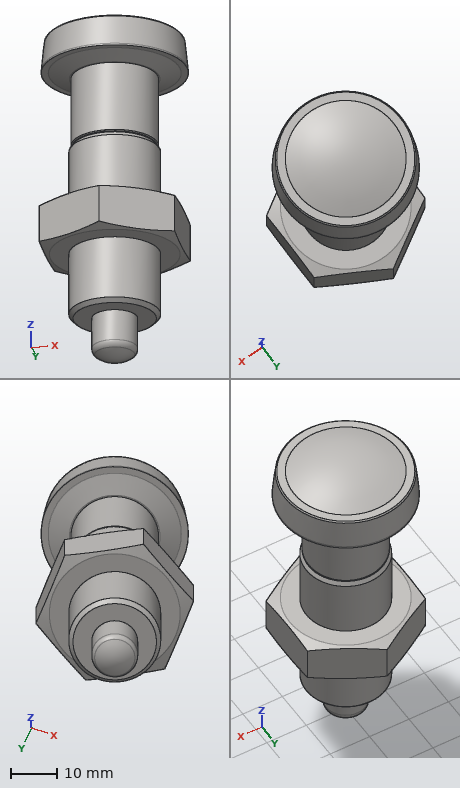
import cadquery as cq
import math

pin_radius = 5.0
pin_length = 10.0
pin_round_start = 3.0
tip_radius = 4.4
tip_dome_height = 1.5
round_mid_radius = 4.8
round_mid_height = 2.1

body_radius = 10.0
body_bottom = pin_length
body_top = 50.0
bottom_chamfer = 0.9
top_chamfer_width = 0.6
top_chamfer_height = 0.9

hex_across_corners = 34.6
hex_bottom = 25.0
hex_height = 9.9
hex_flat_radius = 14.2
hex_corner_drop = 0.8

stem_radius = 9.5
stem_bottom = 50.2
stem_chamfer = 0.2
seam_radius = stem_radius - stem_chamfer
stem_top = 66.2
lip_radius = 9.8
rim_radius = 16.0
rim_bottom = 67.6
rim_flat_radius = 14.4
rim_band_top = 68.0
side_mid_radius = 15.7
side_mid_height = 71.7
side_top_radius = 15.3
rim_top = 75.0
rim_chamfer = 0.3
dome_edge_radius = 13.1
total_height = 78.0


def dome_radius(edge_radius, height):
    """Sphere radius of a cap with the given edge radius and height."""
    return (edge_radius**2 + height**2) / (2 * height)


def dome_mid_offset(edge_radius, height):
    """Distance from the apex plane to the cap surface at half its edge radius."""
    sphere = dome_radius(edge_radius, height)
    return sphere - math.sqrt(sphere**2 - (edge_radius / 2) ** 2)


def make_pin():
    tip_mid = (tip_radius / 2, dome_mid_offset(tip_radius, tip_dome_height))
    profile = (
        cq.Workplane("XZ")
        .moveTo(0, 0)
        .threePointArc(tip_mid, (tip_radius, tip_dome_height))
        .threePointArc((round_mid_radius, round_mid_height), (pin_radius, pin_round_start))
        .lineTo(pin_radius, body_bottom)
        .lineTo(0, body_bottom)
        .close()
    )
    return profile.revolve(360, (0, 0), (0, 1))


def make_body():
    profile = (
        cq.Workplane("XZ")
        .moveTo(0, body_bottom)
        .lineTo(body_radius - bottom_chamfer, body_bottom)
        .lineTo(body_radius, body_bottom + bottom_chamfer)
        .lineTo(body_radius, body_top - top_chamfer_height)
        .lineTo(body_radius - top_chamfer_width, body_top)
        .lineTo(seam_radius, body_top)
        .lineTo(seam_radius, stem_bottom)
        .lineTo(0, stem_bottom)
        .close()
    )
    return profile.revolve(360, (0, 0), (0, 1))


def make_hex():
    """Hexagon with corners on the Y axis, conically chamfered at both ends."""
    corner_radius = hex_across_corners / 2
    hex_top = hex_bottom + hex_height
    prism = (
        cq.Workplane("XY")
        .workplane(offset=hex_bottom)
        .polygon(6, hex_across_corners)
        .extrude(hex_height)
        .rotate((0, 0, 0), (0, 0, 1), 90)
    )
    envelope = (
        cq.Workplane("XZ")
        .moveTo(0, hex_bottom)
        .lineTo(hex_flat_radius, hex_bottom)
        .lineTo(corner_radius, hex_bottom + hex_corner_drop)
        .lineTo(corner_radius, hex_top - hex_corner_drop)
        .lineTo(hex_flat_radius, hex_top)
        .lineTo(0, hex_top)
        .close()
        .revolve(360, (0, 0), (0, 1))
    )
    return prism.intersect(envelope)


def make_knob():
    dome_height = total_height - rim_top
    dome_mid = (dome_edge_radius / 2, total_height - dome_mid_offset(dome_edge_radius, dome_height))
    profile = (
        cq.Workplane("XZ")
        .moveTo(0, stem_bottom)
        .lineTo(seam_radius, stem_bottom)
        .lineTo(stem_radius, stem_bottom + stem_chamfer)
        .lineTo(stem_radius, stem_top)
        .lineTo(lip_radius, stem_top)
        .lineTo(rim_flat_radius, rim_bottom)
        .lineTo(rim_radius, rim_bottom)
        .lineTo(rim_radius, rim_band_top)
        .threePointArc((side_mid_radius, side_mid_height), (side_top_radius, rim_top - rim_chamfer))
        .lineTo(side_top_radius - rim_chamfer, rim_top)
        .lineTo(dome_edge_radius, rim_top)
        .threePointArc(dome_mid, (0, total_height))
        .close()
    )
    return profile.revolve(360, (0, 0), (0, 1))


result = make_pin().union(make_body()).union(make_hex()).union(make_knob())